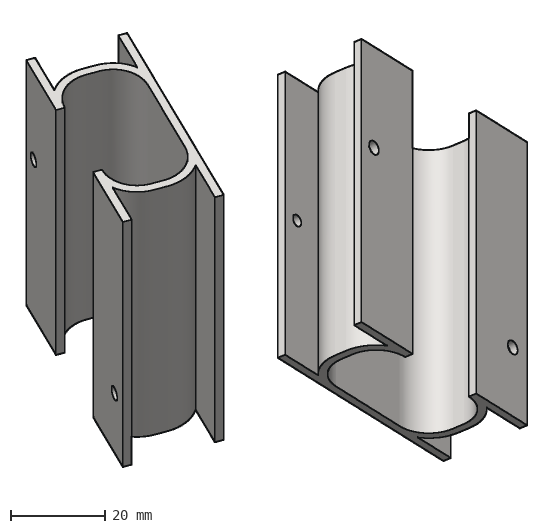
import cadquery as cq

width = 55.0
depth = 23.0
length = 70.0

wall = 2.0
channel_width = 37.0
channel_radius = 8.0
channel_depth = depth - 2 * wall
flange_gap = channel_width - 2 * channel_radius

front_hole_diameter = 3.2
left_front_inset = 4.1
left_front_height = 45.0
right_front_inset = 4.8
right_front_height = 17.0
back_hole_diameter = 2.7
back_hole_inset = 4.0
back_hole_height = 35.0

back_plate_y = depth / 2 - wall / 2
front_flange_y = -back_plate_y


def rounded_bar(size_x, size_y, radius):
    """Full-length bar with rounded vertical edges."""
    return cq.Workplane("XY").box(size_x, size_y, length).edges("|Z").fillet(radius)


def plate_hole(x, y, height, diameter):
    """Cutter along Y through the single plate centred at y."""
    return (
        cq.Workplane("XZ", origin=(x, y, height - length / 2))
        .circle(diameter / 2)
        .extrude(wall, both=True)
    )


body = rounded_bar(channel_width + 2 * wall, depth, channel_radius + wall)
for plate_y in (front_flange_y, back_plate_y):
    body = body.union(cq.Workplane("XY").box(width, wall, length).translate((0, plate_y, 0)))

body = body.cut(rounded_bar(channel_width, channel_depth, channel_radius))
front_opening = cq.Workplane("XY").box(flange_gap, 2 * wall, length)
body = body.cut(front_opening.translate((0, front_flange_y, 0)))

left_front_x = left_front_inset - width / 2
right_front_x = width / 2 - right_front_inset
back_hole_x = back_hole_inset - width / 2
body = body.cut(plate_hole(left_front_x, front_flange_y, left_front_height, front_hole_diameter))
body = body.cut(plate_hole(right_front_x, front_flange_y, right_front_height, front_hole_diameter))
body = body.cut(plate_hole(back_hole_x, back_plate_y, back_hole_height, back_hole_diameter))

result = body